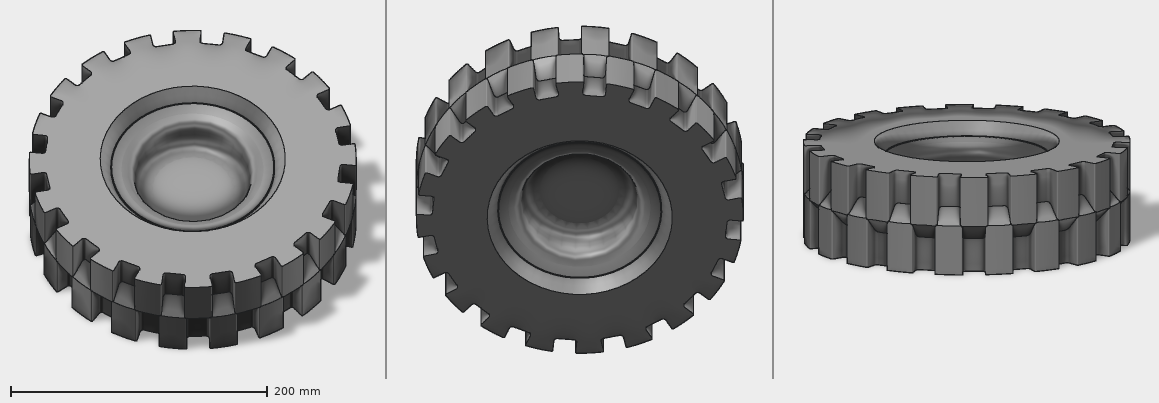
import cadquery as cq
import math

tyre_radius = 127.5
tyre_width = 78.0
half_width = tyre_width / 2
rim_mouth_radius = 72.2
rim_depth = 10.5
bore_radius = 64.0

notch_count = 20
notch_pitch = 360 / notch_count
notch_width = 17.8
notch_depth = 12.8
notch_corner = 2.5
lug_edge = 1.0
notch_clearance = 2.5

hub_edge = 0.8
crest_depth = 10.7
lip_radius = 55.3
lip_depth = 13.5
wall_radius = 45.6
wall_depth = 24.0
wall_lean = 0.1
floor_radius = 30.9
dish_depth = 37.7


def make_tyre_blank():
    """Ring with a sloping rim on both sides of its bore."""
    bore_half_length = half_width - rim_depth
    return (
        cq.Workplane("XZ")
        .moveTo(bore_radius, -bore_half_length)
        .lineTo(rim_mouth_radius, -half_width)
        .lineTo(tyre_radius, -half_width)
        .lineTo(tyre_radius, half_width)
        .lineTo(rim_mouth_radius, half_width)
        .lineTo(bore_radius, bore_half_length)
        .close()
        .revolve(360, (0, 0, 0), (0, 1, 0))
    )


def make_notch():
    """Cutter for one upper notch, centred on the +X axis, with a 45 degree ramp as its bottom."""
    half_notch = notch_width / 2
    floor = tyre_radius - notch_depth
    outer_end = tyre_radius + notch_clearance

    edge_centre_y = half_notch + lug_edge
    edge_centre_radius = tyre_radius - lug_edge
    edge_centre_x = math.sqrt(edge_centre_radius**2 - edge_centre_y**2)
    tread_x = edge_centre_x * tyre_radius / edge_centre_radius
    tread_y = edge_centre_y * tyre_radius / edge_centre_radius

    outline = (
        cq.Workplane("XY")
        .moveTo(floor + notch_corner, -half_notch)
        .lineTo(edge_centre_x, -half_notch)
        .radiusArc((tread_x, -tread_y), lug_edge)
        .lineTo(outer_end, -tread_y)
        .lineTo(outer_end, tread_y)
        .lineTo(tread_x, tread_y)
        .radiusArc((edge_centre_x, half_notch), lug_edge)
        .lineTo(floor + notch_corner, half_notch)
        .radiusArc((floor, half_notch - notch_corner), -notch_corner)
        .lineTo(floor, notch_corner - half_notch)
        .radiusArc((floor + notch_corner, -half_notch), -notch_corner)
        .close()
    )
    shaft = outline.extrude(half_width + notch_clearance).translate((0, 0, -notch_clearance))

    above_ramp = (
        cq.Workplane("XZ")
        .moveTo(floor, notch_depth)
        .lineTo(outer_end, -notch_clearance)
        .lineTo(outer_end, half_width)
        .lineTo(floor, half_width)
        .close()
        .extrude(notch_width, both=True)
    )
    return shaft.intersect(above_ramp)


def make_tyre():
    """Tyre with the lower row of notches turned half a pitch from the upper row."""
    upper_notch = make_notch()
    lower_notch = upper_notch.mirror("XY").rotate((0, 0, 0), (0, 0, 1), notch_pitch / 2)
    cutters = []
    for index in range(notch_count):
        for notch in (upper_notch, lower_notch):
            cutters.append(notch.rotate((0, 0, 0), (0, 0, 1), index * notch_pitch).val())
    return make_tyre_blank().cut(cq.Compound.makeCompound(cutters))


def make_hub():
    """Disc with a sloping border and a dish, the same on both sides.

    The dish wall is one smooth S-curve, tangent to the border cone and to the flat floor.
    """
    crest_radius = bore_radius - hub_edge
    crest_z = half_width - crest_depth
    lip_z = half_width - lip_depth
    floor_z = half_width - dish_depth
    cone_direction = (lip_radius - crest_radius, lip_z - crest_z)
    wall_direction = (-wall_lean, -1)
    floor_direction = (-1, 0)

    upper_half = (
        cq.Workplane("XZ")
        .lineTo(bore_radius, 0)
        .lineTo(bore_radius, crest_z - hub_edge)
        .lineTo(crest_radius, crest_z)
        .lineTo(lip_radius, lip_z)
        .spline(
            [(wall_radius, half_width - wall_depth), (floor_radius, floor_z)],
            tangents=[cone_direction, wall_direction, floor_direction],
            includeCurrent=True,
        )
        .lineTo(0, floor_z)
        .close()
        .revolve(360, (0, 0, 0), (0, 1, 0))
    )
    return upper_half.union(upper_half.mirror("XY"))


tyre = make_tyre()
hub = make_hub()

result = cq.Compound.makeCompound([tyre.solids().val(), hub.solids().val()])